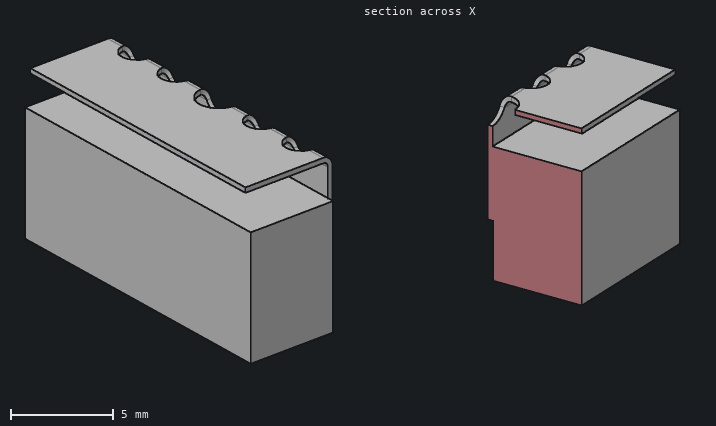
import cadquery as cq
import math

block_width = 17.2
block_depth = 5.2
block_height = 7.2

sheet = 0.3
cover_width = 16.4
cover_top = 9.5
wall_bottom = 3.2
bend_inner_radius = 0.3
bend_outer_radius = bend_inner_radius + sheet
cover_back = block_depth + sheet
bend_axis_y = cover_back - bend_outer_radius
bend_axis_z = cover_top - bend_outer_radius
plate_underside = cover_top - sheet

bend_length = 0.75
wall_edge_to_hole = 0.57
plate_edge_to_hole = bend_length - wall_edge_to_hole
small_hole_radius = 0.885
large_hole_radius = 1.18
inner_hole_offset = 3.25
outer_hole_offset = 6.25

bend_sections = 9
cutter_clearance = 0.1


def front_aligned_box(width, depth, height):
    """Box centred on x = 0 with its front at y = 0 and its underside at z = 0."""
    return cq.Workplane("XY").box(width, depth, height, centered=(True, False, False))


def bend_point(radius, angle):
    """Point (y, z) around the bend axis; the angle runs from the wall to the plate."""
    return (
        bend_axis_y + radius * math.cos(angle),
        bend_axis_z + radius * math.sin(angle),
    )


def make_cover():
    middle = math.pi / 4
    return (
        cq.Workplane("YZ")
        .moveTo(cover_back, wall_bottom)
        .lineTo(cover_back, bend_axis_z)
        .threePointArc(bend_point(bend_outer_radius, middle), (bend_axis_y, cover_top))
        .lineTo(0, cover_top)
        .lineTo(0, plate_underside)
        .lineTo(bend_axis_y, plate_underside)
        .threePointArc(bend_point(bend_inner_radius, middle), (block_depth, bend_axis_z))
        .lineTo(block_depth, wall_bottom)
        .close()
        .extrude(cover_width / 2, both=True)
    )


def wall_cutter(x, radius):
    """Stretch of the hole in the flat wall, below the bend."""
    centre = cq.Vector(x, block_depth, bend_axis_z + wall_edge_to_hole)
    cylinder = cq.Solid.makeCylinder(radius, sheet, centre, cq.Vector(0, 1, 0))
    below_bend = front_aligned_box(cover_width, cover_back, bend_axis_z)
    return cq.Workplane(cylinder).intersect(below_bend)


def plate_cutter(x, radius):
    """Stretch of the hole in the flat plate, in front of the bend."""
    centre = cq.Vector(x, bend_axis_y + plate_edge_to_hole, plate_underside)
    cylinder = cq.Solid.makeCylinder(radius, sheet, centre, cq.Vector(0, 0, 1))
    before_bend = front_aligned_box(cover_width, bend_axis_y, cover_top)
    return cq.Workplane(cylinder).intersect(before_bend)


def bend_section(x, radius, fraction):
    """Radial rectangle as wide as the hole, at a fraction of the way round the bend."""
    distance = fraction * bend_length - wall_edge_to_hole
    half_width = math.sqrt(radius**2 - distance**2)
    angle = fraction * math.pi / 2
    inner = bend_point(bend_inner_radius - cutter_clearance, angle)
    outer = bend_point(bend_outer_radius + cutter_clearance, angle)
    corners = [
        cq.Vector(x - half_width, *inner),
        cq.Vector(x + half_width, *inner),
        cq.Vector(x + half_width, *outer),
        cq.Vector(x - half_width, *outer),
    ]
    return cq.Wire.makePolygon(corners, close=True)


def bend_cutter(x, radius):
    """Stretch of the hole that wraps around the bend."""
    fractions = [i / (bend_sections - 1) for i in range(bend_sections)]
    sections = [bend_section(x, radius, fraction) for fraction in fractions]
    return cq.Workplane(cq.Solid.makeLoft(sections))


def cut_folded_hole(cover, x, radius):
    for make_cutter in (bend_cutter, wall_cutter, plate_cutter):
        cover = cover.cut(make_cutter(x, radius))
    return cover


block = front_aligned_box(block_width, block_depth, block_height)

cover = cut_folded_hole(make_cover(), 0, large_hole_radius)
for offset in (inner_hole_offset, outer_hole_offset):
    for hole_x in (-offset, offset):
        cover = cut_folded_hole(cover, hole_x, small_hole_radius)

result = block.union(cover)